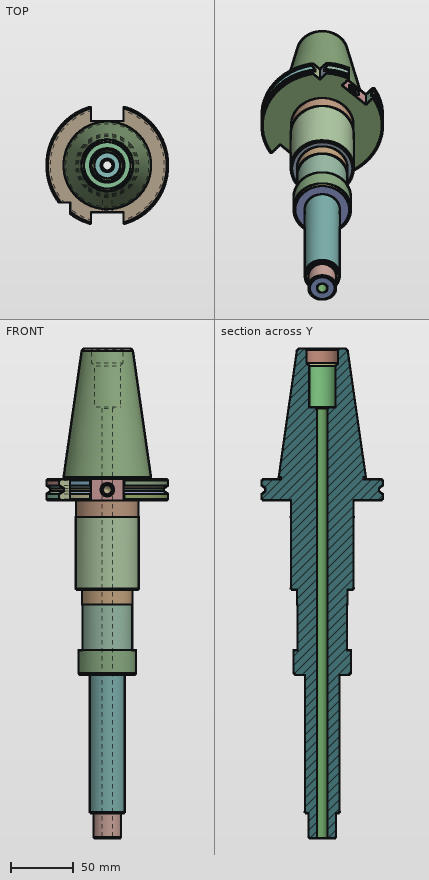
import cadquery as cq
import math

total_height = 391.3
taper_bottom = 288.5
flange_top = 287.0
flange_bottom = 270.0
flange_middle = (flange_top + flange_bottom) / 2
upper_neck_bottom = 256.5
body_bottom = 198.5
shoulder_bottom = 186.5
collar_top = 150.3
collar_bottom = 130.3
rod_bottom = 20.0

taper_top_dia = 41.0
taper_bottom_dia = 70.0
flange_dia = 97.5
upper_neck_dia = 50.0
body_dia = 50.5
shoulder_dia = 40.5
neck_dia = 40.0
collar_dia = 46.0
rod_dia = 28.0
tip_dia = 22.3
flange_neck_dia = 66.5

top_chamfer = 2.0
edge_chamfer = 1.0
collar_chamfer = 1.5
tip_chamfer = 1.0

groove_depth = 3.0
groove_floor_width = 2.5
groove_mouth_width = 7.0

slot_width = 26.0
front_slot_floor = 37.5
rear_slot_floor = 35.5
slot_chamfer = 0.8
notch_offset = 29.7

side_hole_dia = 7.5
side_hole_mouth_dia = 10.5
side_hole_depth = 11.7
drill_tip_angle = 118.0

bore_mouth_dia = 27.5
bore_dia = 25.0
bore_depth = 11.7
inner_bore_dia = 20.7
inner_bore_depth = 47.0
through_mouth_dia = 10.5
through_dia = 8.2


def turned(profile):
    """Solid of a closed (radius, height) profile turned about Z."""
    return cq.Workplane("XZ").polyline(profile).close().revolve(360, (0, 0, 0), (0, 1, 0))


def cone_height(large_dia, small_dia):
    """Height of a 45 degree step between two diameters."""
    return (large_dia - small_dia) / 2


def turned_body():
    """Taper, flange, stepped body, collar, rod and tip as one turned solid."""
    flange_r = flange_dia / 2
    body_r = body_dia / 2
    collar_r = collar_dia / 2
    rod_r = rod_dia / 2
    tip_r = tip_dia / 2
    top_r = taper_top_dia / 2
    outline = [
        (0, total_height),
        (top_r - top_chamfer, total_height),
        (top_r, total_height - top_chamfer),
        (taper_bottom_dia / 2, taper_bottom),
        (flange_neck_dia / 2, taper_bottom),
        (flange_neck_dia / 2, flange_top),
        (flange_r - edge_chamfer, flange_top),
        (flange_r, flange_top - edge_chamfer),
        (flange_r, flange_bottom + edge_chamfer),
        (flange_r - edge_chamfer, flange_bottom),
        (upper_neck_dia / 2, flange_bottom),
        (upper_neck_dia / 2, upper_neck_bottom),
        (body_r, upper_neck_bottom),
        (body_r, body_bottom + edge_chamfer),
        (body_r - edge_chamfer, body_bottom),
        (shoulder_dia / 2, body_bottom),
        (shoulder_dia / 2, shoulder_bottom),
        (neck_dia / 2, shoulder_bottom),
        (neck_dia / 2, collar_top),
        (collar_r, collar_top),
        (collar_r, collar_bottom + collar_chamfer),
        (collar_r - collar_chamfer, collar_bottom),
        (rod_r, collar_bottom),
        (rod_r, rod_bottom + edge_chamfer),
        (rod_r - edge_chamfer, rod_bottom),
        (tip_r, rod_bottom),
        (tip_r, tip_chamfer),
        (tip_r - tip_chamfer, 0),
        (0, 0),
    ]
    return turned(outline)


def gripper_groove():
    """Ring with a trapezoid section, wider at the rim."""
    rim_r = flange_dia / 2
    floor_r = rim_r - groove_depth
    floor_half = groove_floor_width / 2
    rim_half = groove_mouth_width / 2
    section = [
        (floor_r, flange_middle - floor_half),
        (rim_r, flange_middle - rim_half),
        (rim_r, flange_middle + rim_half),
        (floor_r, flange_middle + floor_half),
    ]
    return turned(section)


def drive_slot(floor):
    """Open slot toward -Y, with its two outer corners chamfered."""
    half_slot = slot_width / 2
    half_mouth = half_slot + slot_chamfer
    rim_r = flange_dia / 2
    corner_y = math.sqrt(rim_r ** 2 - half_mouth ** 2)
    section = [
        (-half_slot, -floor),
        (half_slot, -floor),
        (half_slot, -corner_y + slot_chamfer),
        (half_mouth, -corner_y),
        (half_mouth, -rim_r),
        (-half_mouth, -rim_r),
        (-half_mouth, -corner_y),
        (-half_slot, -corner_y + slot_chamfer),
    ]
    slot = cq.Workplane("XY").polyline(section).close().extrude(flange_top - flange_bottom)
    return slot.translate((0, 0, flange_bottom))


def corner_notch():
    """Square notch through the flange rim in the -X, -Y corner."""
    rim_r = flange_dia / 2
    height = flange_top - flange_bottom
    block = cq.Workplane("XY").box(rim_r - notch_offset, rim_r - notch_offset, height, centered=False)
    return block.translate((-rim_r, -rim_r, flange_bottom))


def side_hole():
    """Chamfered drilled hole running inward along +Y."""
    hole_r = side_hole_dia / 2
    mouth_r = side_hole_mouth_dia / 2
    tip = hole_r / math.tan(math.radians(drill_tip_angle / 2))
    section = [
        (0, 0),
        (mouth_r, 0),
        (hole_r, mouth_r - hole_r),
        (hole_r, side_hole_depth),
        (0, side_hole_depth + tip),
    ]
    hole = cq.Workplane("XY").polyline(section).close().revolve(360, (0, 0, 0), (0, 1, 0))
    return hole.translate((0, -front_slot_floor, flange_middle))


def axial_bore():
    """Stepped bore from the small end of the taper, with a hole through the tip."""
    floor = total_height - inner_bore_depth
    step = total_height - bore_depth
    section = [
        (0, total_height),
        (bore_mouth_dia / 2, total_height),
        (bore_dia / 2, total_height - cone_height(bore_mouth_dia, bore_dia)),
        (bore_dia / 2, step),
        (inner_bore_dia / 2, step - cone_height(bore_dia, inner_bore_dia)),
        (inner_bore_dia / 2, floor),
        (through_mouth_dia / 2, floor),
        (through_dia / 2, floor - cone_height(through_mouth_dia, through_dia)),
        (through_dia / 2, 0),
        (0, 0),
    ]
    return turned(section)


result = turned_body().cut(gripper_groove())
result = result.cut(drive_slot(front_slot_floor))
result = result.cut(drive_slot(rear_slot_floor).rotate((0, 0, 0), (0, 0, 1), 180))
result = result.cut(corner_notch())
result = result.cut(side_hole())
result = result.cut(axial_bore())